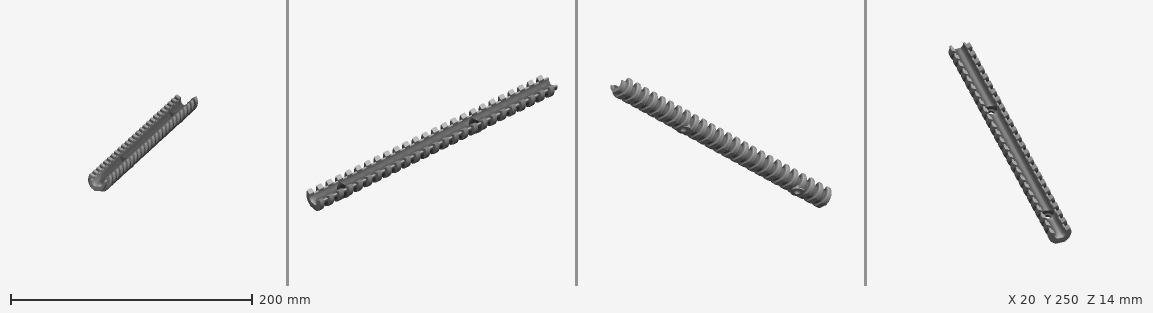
import cadquery as cq
import math

length = 250.0
height = 14.0

trough_axis_height = 9.5
body_half_width = 7.0
body_bottom = 2.0
body_flat_width = 5.2
channel_radius = 5.0
channel_floor_width = 5.2
channel_floor = trough_axis_height - math.sqrt(channel_radius**2 - (channel_floor_width / 2) ** 2)

rib_axis_height = 9.0
rib_radius = 10.0
rib_pitch = 10.0
rib_count = 25
rib_thickness = 5.0
rim_fillet = 1.0

screw_positions = (81.2, 218.8)
boss_diameter = 12.0
screw_hole_diameter = 5.2
screw_head_diameter = 10.0
screw_seat_height = body_bottom


def upright_cylinder(diameter, y, bottom, top):
    """Vertical cylinder on the centre line of the trough."""
    plane = cq.Workplane("XY", origin=(0, y, bottom))
    return plane.circle(diameter / 2).extrude(top - bottom)


def make_trough_blank():
    """Solid bar with a flat bottom, bulging sides and two lips rounded across the wall thickness."""
    flat_half_width = body_flat_width / 2
    side_run = body_half_width - flat_half_width
    side_rise = trough_axis_height - body_bottom
    side_radius = (side_run**2 + side_rise**2) / (2 * side_run)
    half_sweep = math.asin(side_rise / side_radius) / 2
    side_x = body_half_width - side_radius * (1 - math.cos(half_sweep))
    side_z = trough_axis_height - side_radius * math.sin(half_sweep)
    lip_radius = (body_half_width - channel_radius) / 2
    lip_centre_x = body_half_width - lip_radius
    lip_top = trough_axis_height + lip_radius
    return (
        cq.Workplane("XZ")
        .moveTo(-flat_half_width, body_bottom)
        .lineTo(flat_half_width, body_bottom)
        .threePointArc((side_x, side_z), (body_half_width, trough_axis_height))
        .threePointArc((lip_centre_x, lip_top), (channel_radius, trough_axis_height))
        .lineTo(-channel_radius, trough_axis_height)
        .threePointArc((-lip_centre_x, lip_top), (-body_half_width, trough_axis_height))
        .threePointArc((-side_x, side_z), (-flat_half_width, body_bottom))
        .close()
        .extrude(-length)
    )


def make_rib_disc():
    """Disc with a rounded rim, its axis along Y and its near face at Y = 0."""
    return (
        cq.Workplane("XZ", origin=(0, 0, rib_axis_height))
        .circle(rib_radius)
        .extrude(-rib_thickness)
        .edges()
        .fillet(rim_fillet)
    )


def rib_block(width, block_height):
    """Block as thick as a rib, standing on Z = 0 and centred across the trough."""
    block = cq.Workplane("XY")
    return block.box(width, rib_thickness, block_height, centered=(True, False, False))


def make_rib():
    """Disc on a square-edged foot, opened upwards along two radial lines."""
    tip_rise = height - rib_axis_height
    tip_half_width = math.sqrt(rib_radius**2 - tip_rise**2)
    opening_half_width = 2 * tip_half_width
    opening_top = rib_axis_height + 2 * tip_rise
    opening = (
        cq.Workplane("XZ")
        .moveTo(0, rib_axis_height)
        .lineTo(opening_half_width, opening_top)
        .lineTo(-opening_half_width, opening_top)
        .close()
        .extrude(-rib_thickness)
    )
    foot_width = 2 * math.sqrt(rib_radius**2 - rib_axis_height**2)
    foot = rib_block(foot_width, rib_axis_height)
    above_base = rib_block(2 * rib_radius, height)
    return make_rib_disc().union(foot).cut(opening).intersect(above_base)


def make_channel():
    """Round-sided channel with a flat floor, open at the top and at both ends."""
    floor_half_width = channel_floor_width / 2
    half_sweep = math.acos(floor_half_width / channel_radius) / 2
    side_x = channel_radius * math.cos(half_sweep)
    side_z = trough_axis_height - channel_radius * math.sin(half_sweep)
    return (
        cq.Workplane("XZ")
        .moveTo(-floor_half_width, channel_floor)
        .lineTo(floor_half_width, channel_floor)
        .threePointArc((side_x, side_z), (channel_radius, trough_axis_height))
        .lineTo(channel_radius, height)
        .lineTo(-channel_radius, height)
        .lineTo(-channel_radius, trough_axis_height)
        .threePointArc((-side_x, side_z), (-floor_half_width, channel_floor))
        .close()
        .extrude(-length)
    )


def make_rib_row():
    """All ribs, the last one flush with the +Y end of the trough."""
    rib = make_rib().val()
    first_start = length - rib_thickness - (rib_count - 1) * rib_pitch
    rib_starts = [(0, first_start + index * rib_pitch) for index in range(rib_count)]
    return cq.Workplane("XY").pushPoints(rib_starts).eachpoint(lambda place: rib.moved(place))


result = make_trough_blank().union(make_rib_row())

for y in screw_positions:
    result = result.union(upright_cylinder(boss_diameter, y, 0, trough_axis_height))

result = result.cut(make_channel())

for y in screw_positions:
    result = result.cut(upright_cylinder(screw_hole_diameter, y, 0, height))
    result = result.cut(upright_cylinder(screw_head_diameter, y, screw_seat_height, height))